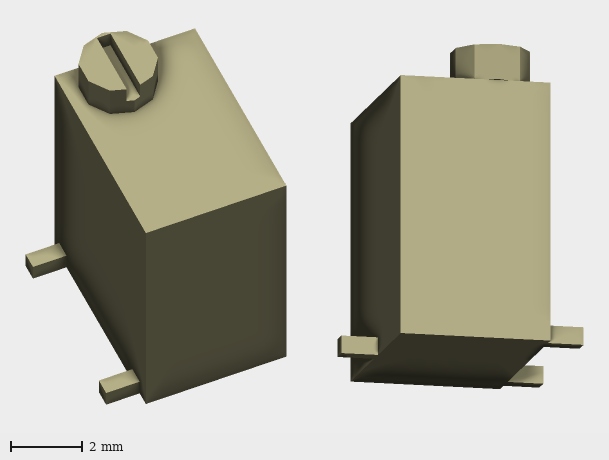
import cadquery as cq

housing_length = 6.345
housing_depth = 4.32
housing_height = 7.445

screw_sides = 10
screw_corner_diameter = 2.25
screw_height = 1.015
screw_overhang = 0.12
screw_from_front = 1.515
screw_center_x = screw_corner_diameter / 2 - screw_overhang

slot_width = 0.415
slot_depth = 0.51
slot_start_x = 0.0

terminal_size = 0.51
front_terminal_length = 1.03
back_terminal_length = 1.06
terminal_pitch = 5.085
first_terminal_x = 0.575
middle_terminal_x = first_terminal_x + terminal_pitch / 2
last_terminal_x = first_terminal_x + terminal_pitch


def make_housing():
    return cq.Workplane("XY").box(
        housing_length, housing_depth, housing_height, centered=False
    )


def make_screw():
    head = (
        cq.Workplane("XY", origin=(screw_center_x, screw_from_front, housing_height))
        .polygon(screw_sides, screw_corner_diameter)
        .extrude(screw_height)
    )
    slot_floor = housing_height + screw_height - slot_depth
    slot = (
        cq.Workplane("XY", origin=(slot_start_x, screw_from_front, slot_floor))
        .box(screw_corner_diameter, slot_width, slot_depth, centered=(False, True, False))
    )
    return head.cut(slot)


def make_terminal(center_x, start_y, length):
    return cq.Workplane("XY", origin=(center_x, start_y, 0)).box(
        terminal_size, length, terminal_size, centered=(True, False, False)
    )


housing = make_housing()
screw = make_screw()

terminal_places = [
    (first_terminal_x, -front_terminal_length, front_terminal_length),
    (last_terminal_x, -front_terminal_length, front_terminal_length),
    (middle_terminal_x, housing_depth, back_terminal_length),
]
terminals = [make_terminal(*place).val() for place in terminal_places]

result = cq.Compound.makeCompound([housing.val(), screw.val(), *terminals])